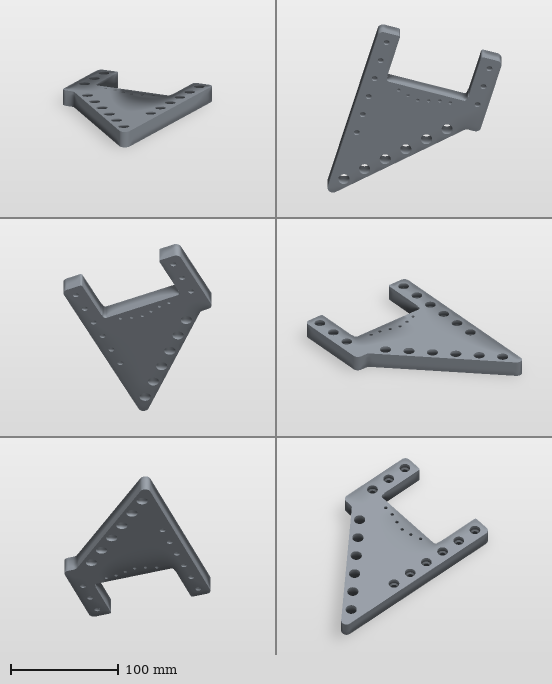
import cadquery as cq
import math

plate_width = 120.0
plate_thickness = 15.0
left_side_length = 78.0
slope_start_depth = 65.0
corner_radius = 5.0

arm_width = 20.5
arm_tip_radius = 1.8
recess_depth = 49.5
foot_step = 0.5
foot_height = 5.0
foot_radius = 2.5

screw_edge_distance = 10.0
screw_pitch = 20.0
left_screw_count = 3
right_screw_count = 6
screw_diameter = 5.5
counterbore_diameter = 10.0
counterbore_depth = 5.0

slope_hole_count = 6
slope_hole_diameter = 10.5
slope_hole_pitch = 22.0
first_slope_hole_x = 30.0
slope_hole_edge_distance = 8.35

pin_hole_diameter = 3.2
pin_hole_pitch = 10.0
first_pin_hole_x = 35.0
pin_hole_depths = [55.25, 56.0, 58.75, 61.0, 58.9, 55.5]


def make_plate():
    """Plate with a 45 degree lower edge and rounded outer corners."""
    slope_top = (left_side_length - slope_start_depth, -left_side_length)
    slope_tip = (plate_width, -(slope_start_depth + plate_width))
    outline = [(0, 0), (plate_width, 0), slope_tip, slope_top, (0, -left_side_length)]
    plate = cq.Workplane("XY").polyline(outline).close().extrude(plate_thickness)
    return plate.edges("|Z").fillet(corner_radius)


def cut_recess(plate):
    """Open recess between the arms, slightly narrower at its foot."""
    middle = plate_width / 2
    half_width = middle - arm_width
    foot_half_width = half_width - foot_step
    foot_top = foot_height - recess_depth
    right_side = [
        (middle + foot_half_width, -recess_depth),
        (middle + foot_half_width, foot_top),
        (middle + half_width, foot_top),
        (middle + half_width, 0),
    ]
    left_side = [(plate_width - x, y) for x, y in reversed(right_side)]
    recess = cq.Workplane("XY").polyline(right_side + left_side).close().extrude(plate_thickness)
    recess = recess.edges("|Z and <Y").fillet(foot_radius)
    plate = plate.cut(recess)
    margin = arm_width / 4
    tip_edges = cq.selectors.BoxSelector(
        (arm_width - margin, -margin, 0),
        (plate_width - arm_width + margin, margin, plate_thickness),
    )
    return plate.edges("|Z").edges(tip_edges).fillet(arm_tip_radius)


def cut_screw_holes(plate):
    """Row of counterbored holes down each arm."""
    left_x = screw_edge_distance
    right_x = plate_width - screw_edge_distance
    points = []
    for x, count in [(left_x, left_screw_count), (right_x, right_screw_count)]:
        for row in range(count):
            points.append((x, -screw_edge_distance - row * screw_pitch))
    top = plate.faces(">Z").workplane(origin=(0, 0, plate_thickness))
    return top.pushPoints(points).cboreHole(screw_diameter, counterbore_diameter, counterbore_depth)


def cut_slope_holes(plate):
    """Row of plain holes parallel to the 45 degree edge."""
    first_y = slope_hole_edge_distance * math.sqrt(2) - slope_start_depth - first_slope_hole_x
    step = slope_hole_pitch / math.sqrt(2)
    points = [(first_slope_hole_x + i * step, first_y - i * step) for i in range(slope_hole_count)]
    top = plate.faces(">Z").workplane(origin=(0, 0, plate_thickness))
    return top.pushPoints(points).hole(slope_hole_diameter)


def cut_pin_holes(plate):
    """Curved row of small through holes below the recess."""
    points = [(first_pin_hole_x + i * pin_hole_pitch, -depth) for i, depth in enumerate(pin_hole_depths)]
    top = plate.faces(">Z").workplane(origin=(0, 0, plate_thickness))
    return top.pushPoints(points).hole(pin_hole_diameter)


result = make_plate()
result = cut_recess(result)
result = cut_screw_holes(result)
result = cut_slope_holes(result)
result = cut_pin_holes(result)